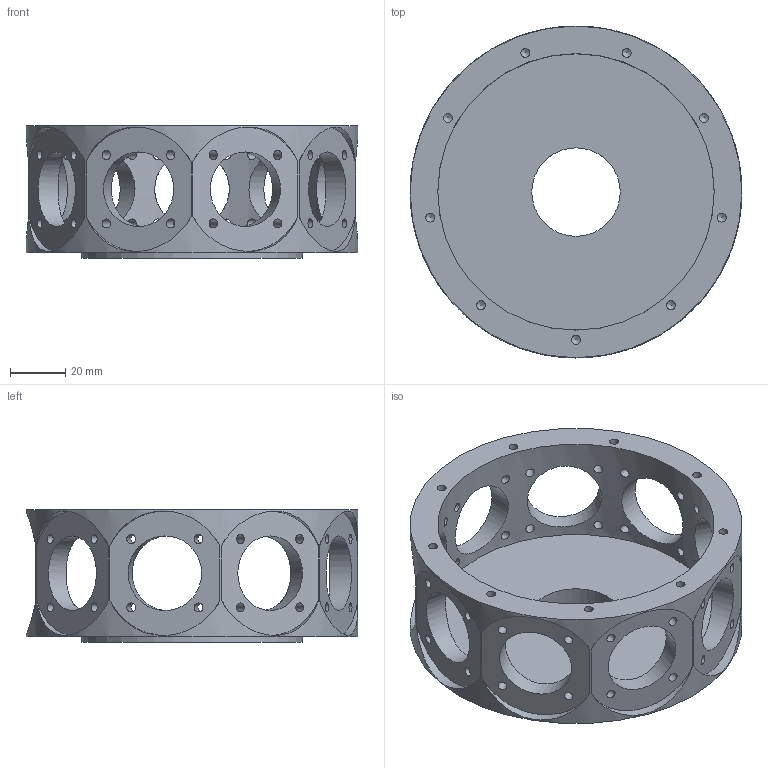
import cadquery as cq
import math

OUTER_DIAMETER = 120.0
BORE_DIAMETER = 100.0
BODY_HEIGHT = 46.0
BORE_DEPTH = 40.0
CENTER_HOLE_DIAMETER = 32.0

SPIGOT_DIAMETER = 80.0
SPIGOT_HEIGHT = 2.0

STATION_COUNT = 9
STATION_PITCH = 360.0 / STATION_COUNT
FIRST_WINDOW_ANGLE = 90.0

FLAT_DISTANCE = 56.5
SPOTFACE_DIAMETER = 45.0
WINDOW_DIAMETER = 27.0
WINDOW_BOLT_CIRCLE = 35.0
WINDOW_SCREW_COUNT = 4
FIRST_WINDOW_SCREW_ANGLE = 45.0

SCREW_HOLE_DIAMETER = 3.24
RIM_BOLT_CIRCLE = 107.0
RIM_HOLE_DEPTH = 10.0
DRILL_POINT_ANGLE = 118.0

TOP_Z = SPIGOT_HEIGHT + BODY_HEIGHT
FLOOR_Z = TOP_Z - BORE_DEPTH
WINDOW_Z = SPIGOT_HEIGHT + BODY_HEIGHT / 2
OUTER_RADIUS = OUTER_DIAMETER / 2

CUT_OVERRUN = 5.0
WALL_CLEARANCE = 10.0


def make_body():
    """Open-topped cup with a spigot below and a hole through its floor."""
    spigot = cq.Workplane("XY").circle(SPIGOT_DIAMETER / 2).extrude(SPIGOT_HEIGHT)
    ring = (
        cq.Workplane("XY", origin=(0, 0, SPIGOT_HEIGHT))
        .circle(OUTER_RADIUS)
        .extrude(BODY_HEIGHT)
    )
    bore = cq.Workplane("XY", origin=(0, 0, FLOOR_Z)).circle(BORE_DIAMETER / 2).extrude(BORE_DEPTH)
    center_hole = cq.Workplane("XY").circle(CENTER_HOLE_DIAMETER / 2).extrude(TOP_Z)
    return ring.union(spigot).cut(bore).cut(center_hole)


def make_window_cutter():
    """Spotface, window and four screw holes cut through the wall on +X."""
    flat = cq.Workplane("YZ", origin=(FLAT_DISTANCE, 0, WINDOW_Z))
    spotface = flat.circle(SPOTFACE_DIAMETER / 2).extrude(OUTER_RADIUS - FLAT_DISTANCE + CUT_OVERRUN)

    inner_start = BORE_DIAMETER / 2 - WALL_CLEARANCE
    through_length = OUTER_RADIUS - inner_start
    inside = cq.Workplane("YZ", origin=(inner_start, 0, WINDOW_Z))
    window = inside.circle(WINDOW_DIAMETER / 2).extrude(through_length)
    screw_holes = (
        inside.polarArray(WINDOW_BOLT_CIRCLE / 2, FIRST_WINDOW_SCREW_ANGLE, 360, WINDOW_SCREW_COUNT)
        .circle(SCREW_HOLE_DIAMETER / 2)
        .extrude(through_length)
    )
    return spotface.union(window).union(screw_holes)


def cut_around(body, cutter, first_angle):
    """Cut the body with the cutter at every station around the Z axis."""
    for station in range(STATION_COUNT):
        angle = first_angle + station * STATION_PITCH
        body = body.cut(cutter.rotate((0, 0, 0), (0, 0, 1), angle))
    return body


def make_rim_drill():
    """Downward drill with a conical point, placed at the rim on +X."""
    radius = SCREW_HOLE_DIAMETER / 2
    point_height = radius / math.tan(math.radians(DRILL_POINT_ANGLE / 2))
    bottom_z = TOP_Z - RIM_HOLE_DEPTH
    profile = (
        cq.Workplane("XZ")
        .moveTo(0, TOP_Z)
        .lineTo(radius, TOP_Z)
        .lineTo(radius, bottom_z)
        .lineTo(0, bottom_z - point_height)
        .close()
    )
    drill = profile.revolve(360, (0, 0, 0), (0, 1, 0))
    return drill.translate((RIM_BOLT_CIRCLE / 2, 0, 0))


windowed_body = cut_around(make_body(), make_window_cutter(), FIRST_WINDOW_ANGLE)
result = cut_around(windowed_body, make_rim_drill(), FIRST_WINDOW_ANGLE + STATION_PITCH / 2)